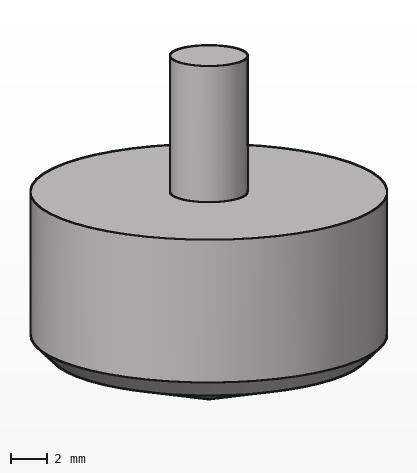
import cadquery as cq

total_height = 19.7
body_diameter = 19.7
stem_diameter = 4.3
stem_length = 7.8
bevel_size = 1.03
cone_height = 2.69

body_radius = body_diameter / 2
stem_radius = stem_diameter / 2
cone_radius = body_radius - bevel_size
bevel_top = cone_height + bevel_size
body_top = total_height - stem_length


def half_section():
    """Half section in the XZ plane, from the cone tip out and up to the stem end."""
    return (
        cq.Workplane("XZ")
        .moveTo(0, 0)
        .lineTo(cone_radius, cone_height)
        .lineTo(body_radius, bevel_top)
        .lineTo(body_radius, body_top)
        .lineTo(stem_radius, body_top)
        .lineTo(stem_radius, total_height)
        .lineTo(0, total_height)
        .close()
    )


result = half_section().revolve(360, (0, 0, 0), (0, 1, 0))